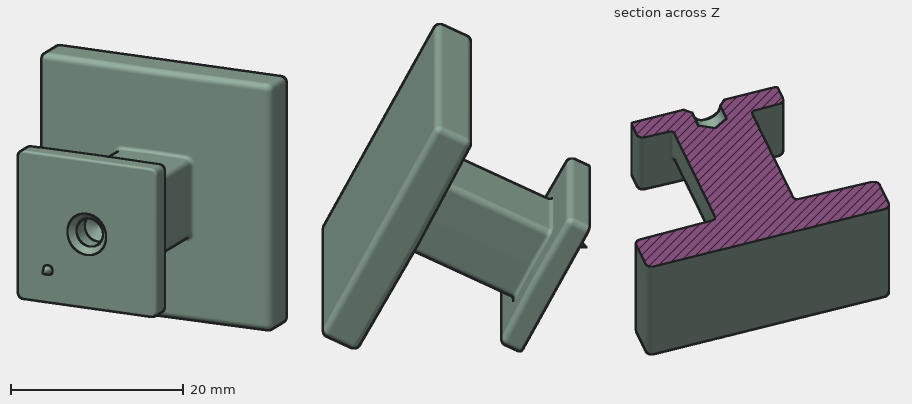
import cadquery as cq
import math

DRAFT = 1.0
EDGE_RADIUS = 0.8

PLATE_SIZE = 29.94
PLATE_THICKNESS = 5.0

STEM_WIDTH = 9.65
STEM_HEIGHT = 9.75
STEM_LENGTH = 15.03
STEM_ROOT_RADIUS = 0.45

CAP_SIZE = 18.03
CAP_THICKNESS = 2.97
CAP_FRONT_RADIUS = 0.3

HOLE_DIAMETER = 3.4
HOLE_DEPTH = 3.0
DRILL_POINT_ANGLE = 118.0
SINK_DIAMETER = 5.0
SINK_ANGLE = 90.0

PIP_DIAMETER = 1.2
PIP_HEIGHT = 1.5
PIP_OFFSET = 5.0

STEM_START = -PLATE_THICKNESS
CAP_BACK = STEM_START - STEM_LENGTH
CAP_FRONT = CAP_BACK - CAP_THICKNESS
OVERLAP = 1.0


def sloped_block(size, flat, crown):
    """Square block from Y = flat to a plane through (0, crown) that thins it toward -X by the draft angle."""
    half = size / 2
    slope = math.copysign(half * math.tan(math.radians(DRAFT)), crown - flat)
    return (
        cq.Workplane("XY")
        .moveTo(-half, flat)
        .lineTo(half, flat)
        .lineTo(half, crown + slope)
        .lineTo(-half, crown - slope)
        .close()
        .extrude(half, both=True)
    )


def plate_wedge():
    return sloped_block(PLATE_SIZE, 0, STEM_START).edges().fillet(EDGE_RADIUS)


def cap_wedge():
    block = sloped_block(CAP_SIZE, CAP_FRONT, CAP_BACK)
    block = block.edges("not <Y").fillet(EDGE_RADIUS)
    return block.faces("<Y").edges().fillet(CAP_FRONT_RADIUS)


def stem_wedge():
    """Stem whose top and bottom slope so that it thins toward -X by the draft angle."""
    half_width = STEM_WIDTH / 2
    half_height = STEM_HEIGHT / 2
    slope = half_width * math.tan(math.radians(DRAFT))
    return (
        cq.Workplane("XZ", origin=(0, STEM_START + OVERLAP, 0))
        .moveTo(-half_width, slope - half_height)
        .lineTo(half_width, -slope - half_height)
        .lineTo(half_width, slope + half_height)
        .lineTo(-half_width, half_height - slope)
        .close()
        .extrude(STEM_LENGTH + 2 * OVERLAP)
        .edges("|Y")
        .fillet(EDGE_RADIUS)
    )


def root_box(y):
    """Selector for the edges where the stem meets a flange near Y = y."""
    margin = STEM_ROOT_RADIUS
    reach = STEM_HEIGHT / 2 + margin
    return cq.selectors.BoxSelector((-reach, y - margin, -reach), (reach, y + margin, reach))


def knob_body():
    """Join the wedges, round the stem roots, then mirror the -X half to form ridges on X = 0."""
    wedge = plate_wedge().union(stem_wedge()).union(cap_wedge())
    wedge = wedge.edges(root_box(STEM_START) + root_box(CAP_BACK)).fillet(STEM_ROOT_RADIUS)
    half = wedge.copyWorkplane(cq.Workplane("YZ")).split(keepBottom=True)
    return half.union(half.mirror("YZ"))


def screw_hole():
    """Countersunk blind hole with a drill point, turned about the knob axis."""
    radius = HOLE_DIAMETER / 2
    sink_radius = SINK_DIAMETER / 2
    sink_depth = (sink_radius - radius) / math.tan(math.radians(SINK_ANGLE / 2))
    point_length = radius / math.tan(math.radians(DRILL_POINT_ANGLE / 2))
    return (
        cq.Workplane("XY")
        .moveTo(0, CAP_FRONT)
        .lineTo(sink_radius, CAP_FRONT)
        .lineTo(radius, CAP_FRONT + sink_depth)
        .lineTo(radius, CAP_FRONT + HOLE_DEPTH)
        .lineTo(0, CAP_FRONT + HOLE_DEPTH + point_length)
        .close()
        .revolve(360, (0, 0, 0), (0, 1, 0))
    )


def pip():
    """Small pointed cone standing on the front of the cap."""
    cone = cq.Solid.makeCone(
        PIP_DIAMETER / 2,
        0,
        PIP_HEIGHT,
        pnt=cq.Vector(-PIP_OFFSET, CAP_FRONT, -PIP_OFFSET),
        dir=cq.Vector(0, -1, 0),
    )
    return cq.Workplane(cone)


result = knob_body().cut(screw_hole()).union(pip())